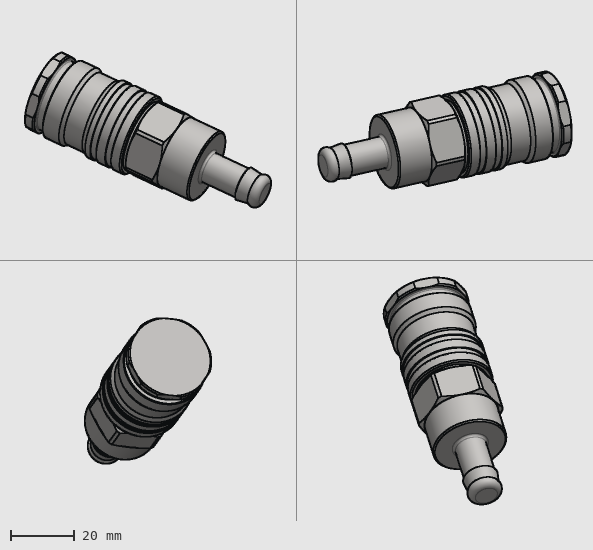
import cadquery as cq
import math

total_length = 79.65

flange_length = 3.5
flange_diameter = 27.1
flange_across_flats = 26.0
flange_chamfer = 0.5

core_diameter = 23.7
core_fillet = 0.3

hex_start = 36.1
hex_end = 47.55
hex_across_flats = 24.05
hex_corner_diameter = 27.1
hex_relief_angle = 30.0

barrel_diameter = 23.8
barrel_end = 58.8
barrel_chamfer = 0.5

stem_diameter = 10.1
stem_fillet = 0.8
barb_start = 72.15
barb_diameter = 11.3
barb_tail_diameter = 10.1
bead_diameter = 11.15
bead_radius = 2.0

sleeve_start = 6.5
sleeve_end = 35.1
sleeve_diameter = 26.8
sleeve_front_chamfer = 0.2
sleeve_rear_chamfer = 0.5
waist_diameter = 25.0
waist_cone_start = 12.6
waist_start = 13.9
waist_end = 20.55
waist_cone_end = 22.15
groove_diameter = 26.0
groove_width = 2.15
groove_starts = (24.0, 29.4)


def revolve_profile(profile):
    """Turn a closed (x, radius) outline once around the X axis."""
    return profile.close().revolve(360, (0, 0, 0), (1, 0, 0))


def cylinder(start, end, diameter):
    """Cylinder along X between two stations."""
    return cq.Workplane("YZ", origin=(start, 0, 0)).circle(diameter / 2).extrude(end - start)


def hex_prism(start, end, across_flats):
    """Hexagonal prism along X with flats facing +Z and -Z and corners on the Y axis."""
    corner_diameter = across_flats / math.cos(math.radians(30))
    return cq.Workplane("YZ", origin=(start, 0, 0)).polygon(6, corner_diameter).extrude(end - start)


def make_flange():
    """Chamfered disc whose rim is cut by six flats."""
    disc = cylinder(0, flange_length, flange_diameter).edges().chamfer(flange_chamfer)
    return disc.intersect(hex_prism(0, flange_length, flange_across_flats))


def make_hexagon():
    """Hexagon with cylindrical corners and conical end reliefs that start at the flats."""
    flat_radius = hex_across_flats / 2
    corner_radius = hex_corner_diameter / 2
    relief_length = (corner_radius - flat_radius) * math.tan(math.radians(hex_relief_angle))
    relieved_bar = revolve_profile(
        cq.Workplane("XY")
        .moveTo(hex_start, 0)
        .lineTo(hex_start, flat_radius)
        .lineTo(hex_start + relief_length, corner_radius)
        .lineTo(hex_end - relief_length, corner_radius)
        .lineTo(hex_end, flat_radius)
        .lineTo(hex_end, 0)
    )
    return hex_prism(hex_start, hex_end, hex_across_flats).intersect(relieved_bar)


def make_turned_core():
    """Core, barrel and barbed hose stem as one turned shape."""
    core_radius = core_diameter / 2
    barrel_radius = barrel_diameter / 2
    stem_radius = stem_diameter / 2
    bead_center_x = total_length - bead_radius
    bead_center_radius = bead_diameter / 2 - bead_radius
    barb_tail_radius = barb_tail_diameter / 2
    bead_rise = barb_tail_radius - bead_center_radius
    bead_start = bead_center_x - math.sqrt(bead_radius**2 - bead_rise**2)
    fillet_mid = 1 - math.sqrt(0.5)
    return revolve_profile(
        cq.Workplane("XY")
        .moveTo(flange_length, 0)
        .lineTo(flange_length, core_radius + core_fillet)
        .threePointArc(
            (flange_length + core_fillet * fillet_mid, core_radius + core_fillet * fillet_mid),
            (flange_length + core_fillet, core_radius),
        )
        .lineTo(hex_end, core_radius)
        .lineTo(hex_end, barrel_radius)
        .lineTo(barrel_end - barrel_chamfer, barrel_radius)
        .lineTo(barrel_end, barrel_radius - barrel_chamfer)
        .lineTo(barrel_end, stem_radius + stem_fillet)
        .threePointArc(
            (barrel_end + stem_fillet * fillet_mid, stem_radius + stem_fillet * fillet_mid),
            (barrel_end + stem_fillet, stem_radius),
        )
        .lineTo(barb_start, stem_radius)
        .lineTo(barb_start, barb_diameter / 2)
        .lineTo(bead_start, barb_tail_radius)
        .threePointArc((bead_center_x, bead_diameter / 2), (total_length, bead_center_radius))
        .lineTo(total_length, 0)
    )


def make_sleeve():
    """Sleeve with a conical waist, two shallow grooves and a bore that fits the core."""
    bore_radius = core_diameter / 2
    outer_radius = sleeve_diameter / 2
    waist_radius = waist_diameter / 2
    sleeve = revolve_profile(
        cq.Workplane("XY")
        .moveTo(sleeve_start, bore_radius)
        .lineTo(sleeve_start, outer_radius - sleeve_front_chamfer)
        .lineTo(sleeve_start + sleeve_front_chamfer, outer_radius)
        .lineTo(waist_cone_start, outer_radius)
        .lineTo(waist_start, waist_radius)
        .lineTo(waist_end, waist_radius)
        .lineTo(waist_cone_end, outer_radius)
        .lineTo(sleeve_end - sleeve_rear_chamfer, outer_radius)
        .lineTo(sleeve_end, outer_radius - sleeve_rear_chamfer)
        .lineTo(sleeve_end, bore_radius)
    )
    for start in groove_starts:
        end = start + groove_width
        ring = cylinder(start, end, flange_diameter).cut(cylinder(start, end, groove_diameter))
        sleeve = sleeve.cut(ring)
    return sleeve


coupling_body = make_turned_core().union(make_flange()).union(make_hexagon())
sleeve = make_sleeve()

result = cq.Compound.makeCompound([coupling_body.solids().val(), sleeve.solids().val()])